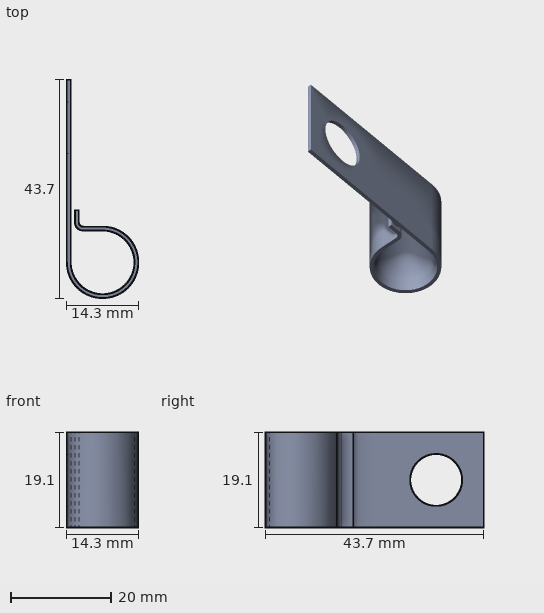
import cadquery as cq
import math

thickness = 0.8128
width = 19.05
loop_inner_radius = 6.35
strap_length = 36.5
hole_diameter = 10.32
hole_end_distance = 9.525
tab_gap = 0.8128
tab_end = 10.45
bend_inner_radius = 0.8128

loop_outer_radius = loop_inner_radius + thickness
bend_outer_radius = bend_inner_radius + thickness
strap_inner_x = -loop_inner_radius
strap_outer_x = -loop_outer_radius
tab_left_x = strap_inner_x + tab_gap
tab_right_x = tab_left_x + thickness
bend_center_x = tab_left_x + bend_outer_radius
bend_center_y = loop_outer_radius + bend_inner_radius


def bend_midpoint(radius):
    """Middle of the quarter bend that joins the tab to the loop."""
    offset = radius * math.sqrt(0.5)
    return (bend_center_x - offset, bend_center_y - offset)


def loop_midpoint(radius):
    """Middle of the three-quarter loop, diagonally opposite its opening."""
    offset = radius * math.sqrt(0.5)
    return (offset, -offset)


def make_strip():
    """Bent strip: flat strap, three-quarter loop, short flat and tab."""
    profile = (
        cq.Workplane("XY")
        .moveTo(strap_outer_x, strap_length)
        .lineTo(strap_outer_x, 0)
        .threePointArc(loop_midpoint(loop_outer_radius), (0, loop_outer_radius))
        .lineTo(bend_center_x, loop_outer_radius)
        .threePointArc(bend_midpoint(bend_inner_radius), (tab_right_x, bend_center_y))
        .lineTo(tab_right_x, tab_end)
        .lineTo(tab_left_x, tab_end)
        .lineTo(tab_left_x, bend_center_y)
        .threePointArc(bend_midpoint(bend_outer_radius), (bend_center_x, loop_inner_radius))
        .lineTo(0, loop_inner_radius)
        .threePointArc(loop_midpoint(loop_inner_radius), (strap_inner_x, 0))
        .lineTo(strap_inner_x, strap_length)
        .close()
    )
    return profile.extrude(width / 2, both=True)


def make_hole_cutter():
    """Cylinder along X through the strap only."""
    return (
        cq.Workplane("YZ", origin=(strap_outer_x, 0, 0))
        .center(strap_length - hole_end_distance, 0)
        .circle(hole_diameter / 2)
        .extrude(thickness)
    )


result = make_strip().cut(make_hole_cutter())